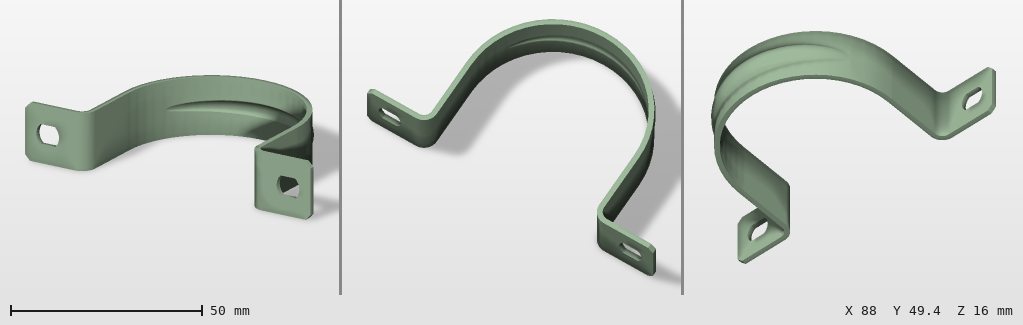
import cadquery as cq
import math

length = 88.0
width = 16.0
thickness = 1.5
chamfer = 1.5

loop_outer_radius = 26.5
loop_inner_radius = loop_outer_radius - thickness
loop_center_y = 21.0
bend_inner_radius = 2.5
bend_outer_radius = bend_inner_radius + thickness

hole_center_x = 37.05
hole_length = 6.95
hole_height = 5.6
hole_flat_length = 4.4

rib_height = 1.9
rib_sweep_radius = 25.0
rib_section_radius = 5.0
rib_axis_y = loop_center_y + loop_outer_radius + rib_height - rib_sweep_radius

groove_bottom_radius = 1.1
groove_flank_angle = math.radians(60)
groove_cutter_depth = 3.1
groove_sweep_radius = rib_sweep_radius - thickness

rib_edge_radius = 0.3


def bent_strip_half():
    """Half of the bent strip on the +X side, from the crown to the end of the foot."""
    diagonal = math.sqrt(0.5)
    bend_center_x = loop_outer_radius + bend_inner_radius
    bend_center_y = bend_outer_radius
    outline = (
        cq.Workplane("XY")
        .moveTo(0, loop_center_y + loop_outer_radius)
        .threePointArc(
            (loop_outer_radius * diagonal, loop_center_y + loop_outer_radius * diagonal),
            (loop_outer_radius, loop_center_y),
        )
        .lineTo(loop_outer_radius, bend_center_y)
        .threePointArc(
            (bend_center_x - bend_inner_radius * diagonal, bend_center_y - bend_inner_radius * diagonal),
            (bend_center_x, thickness),
        )
        .lineTo(length / 2, thickness)
        .lineTo(length / 2, 0)
        .lineTo(bend_center_x, 0)
        .threePointArc(
            (bend_center_x - bend_outer_radius * diagonal, bend_center_y - bend_outer_radius * diagonal),
            (loop_inner_radius, bend_center_y),
        )
        .lineTo(loop_inner_radius, loop_center_y)
        .threePointArc(
            (loop_inner_radius * diagonal, loop_center_y + loop_inner_radius * diagonal),
            (0, loop_center_y + loop_inner_radius),
        )
        .close()
    )
    half = outline.extrude(width / 2, both=True)
    return half.faces(">X").edges("|Y").chamfer(chamfer)


def foot_hole():
    """Cutter for the hole in the +X foot."""
    return (
        cq.Workplane("XZ")
        .moveTo(hole_center_x - hole_flat_length / 2, -hole_height / 2)
        .lineTo(hole_center_x + hole_flat_length / 2, -hole_height / 2)
        .threePointArc(
            (hole_center_x + hole_length / 2, 0),
            (hole_center_x + hole_flat_length / 2, hole_height / 2),
        )
        .lineTo(hole_center_x - hole_flat_length / 2, hole_height / 2)
        .threePointArc(
            (hole_center_x - hole_length / 2, 0),
            (hole_center_x - hole_flat_length / 2, -hole_height / 2),
        )
        .close()
        .extrude(thickness, both=True)
    )


def sweep_over_crown(section):
    """Revolve a section in the XZ plane half a turn over the crown, about the rib axis."""
    return section.revolve(180, (0, 0, 0), (0, 1, 0)).translate((0, rib_axis_y, 0))


def rib():
    """Round rib standing proud of the loop, with the space inside the loop left clear."""
    tube_center = rib_sweep_radius - rib_section_radius
    section = cq.Workplane("XZ").moveTo(tube_center, 0).circle(rib_section_radius)
    body = sweep_over_crown(section)
    bore = cq.Workplane("XY").center(0, loop_center_y).circle(loop_inner_radius).extrude(width / 2, both=True)
    return body.cut(bore)


def groove():
    """Cutter for the groove: straight flanks tangent to a rounded bottom."""
    arc_center = groove_sweep_radius - groove_bottom_radius
    tangent_radius = arc_center + groove_bottom_radius * math.cos(groove_flank_angle)
    tangent_z = groove_bottom_radius * math.sin(groove_flank_angle)
    mouth_radius = groove_sweep_radius - groove_cutter_depth
    mouth_z = tangent_z + (tangent_radius - mouth_radius) / math.tan(groove_flank_angle)
    section = (
        cq.Workplane("XZ")
        .moveTo(mouth_radius, -mouth_z)
        .lineTo(tangent_radius, -tangent_z)
        .threePointArc((groove_sweep_radius, 0), (tangent_radius, tangent_z))
        .lineTo(mouth_radius, mouth_z)
        .close()
    )
    return sweep_over_crown(section)


def finished_half():
    """The X > 0 half of the finished strap, cut off at the plane of symmetry."""
    strap = bent_strip_half().cut(foot_hole()).union(rib()).cut(groove())
    block = cq.Workplane("XY").box(length, length, width, centered=(False, False, True))
    half = strap.intersect(block)
    return half.edges("%BSPLINE").fillet(rib_edge_radius)


half = finished_half()
result = half.union(half.mirror("YZ"))